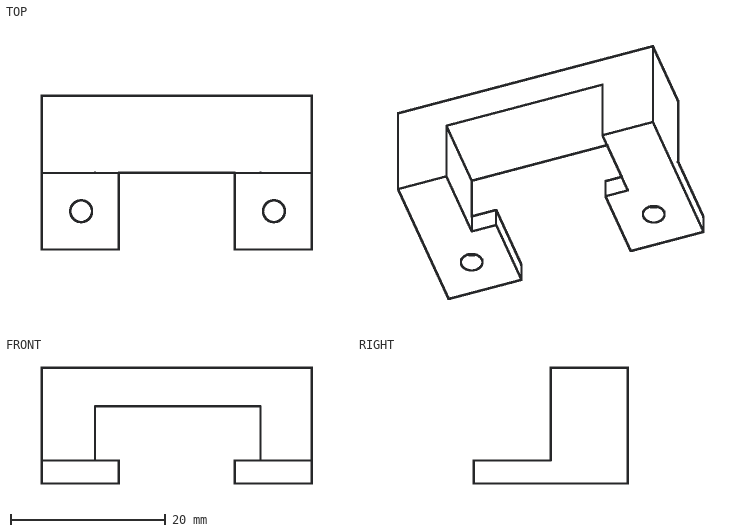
import cadquery as cq

width = 35.0
depth = 20.0
height = 15.0

bridge_depth = 10.0
beam_thickness = 5.0
left_leg_width = 6.93
right_leg_width = 6.65

tab_width = 10.0
tab_thickness = 3.0
tab_depth = depth - bridge_depth

hole_diameter = 2.8
hole_spacing = 25.0
left_hole_x = 5.1
hole_y = tab_depth / 2


def corner_box(x, y, size_x, size_y, size_z):
    """Box standing on Z = 0 with its lower left front corner at (x, y)."""
    return cq.Workplane("XY").box(size_x, size_y, size_z, centered=False).translate((x, y, 0))


def make_bridge():
    block = corner_box(0, tab_depth, width, bridge_depth, height)
    opening_width = width - left_leg_width - right_leg_width
    opening = corner_box(
        left_leg_width, tab_depth, opening_width, bridge_depth, height - beam_thickness
    )
    return block.cut(opening)


def make_holes():
    centres = [(left_hole_x, hole_y), (left_hole_x + hole_spacing, hole_y)]
    return cq.Workplane("XY").pushPoints(centres).circle(hole_diameter / 2).extrude(tab_thickness)


result = make_bridge()
for tab_x in (0, width - tab_width):
    result = result.union(corner_box(tab_x, 0, tab_width, tab_depth, tab_thickness))
result = result.cut(make_holes())